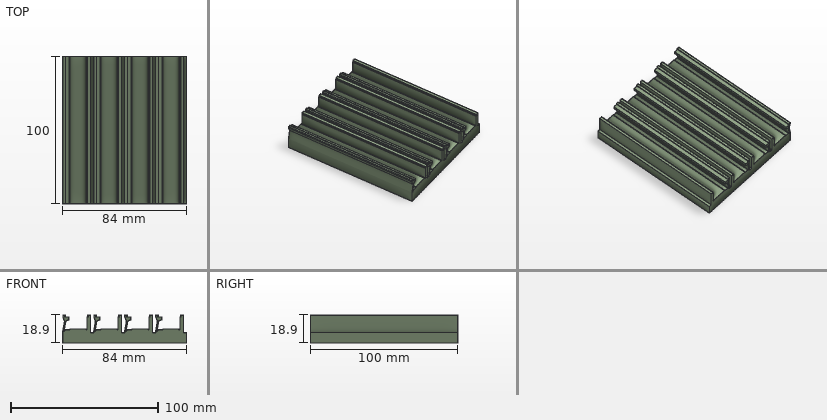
import cadquery as cq

channel_count = 4
channel_pitch = 21.0
length = 100.0
height = 18.9

gap_floor_z = 7.1
hook_root_z = 8.0
side_strip_z = 9.1
channel_floor_z = 9.7
waist_z = 14.75
head_underside_z = 14.9
head_corner_z = 15.8
ledge_z = 17.7
rim_bottom_z = 18.45

root_width = 1.05
waist_outer_x = 1.2
waist_inner_x = 2.2
head_outer_x = 0.1
head_inner_x = 4.3
hook_rim_x = 1.85
undercut_depth = 0.45

notch_end_x = 2.0
step_x = 4.9
groove_width = 0.6
wall_inner_x = 16.5
wall_outer_x = 19.0
wall_rim_setback = 0.45


def hook_points():
    """Springy hook, from its outer root over the head to its inner root."""
    return [
        (0, hook_root_z),
        (waist_outer_x, waist_z),
        (head_outer_x, ledge_z),
        (head_outer_x, height),
        (hook_rim_x, height),
        (hook_rim_x, rim_bottom_z),
        (hook_rim_x - undercut_depth, ledge_z),
        (head_inner_x, ledge_z),
        (head_inner_x, head_corner_z),
        (waist_inner_x, head_underside_z),
        (root_width, hook_root_z),
    ]


def floor_points():
    """Channel floor, from the sloped notch at the hook to the groove at the wall."""
    groove_x = wall_inner_x - groove_width
    return [
        (notch_end_x, side_strip_z),
        (step_x, side_strip_z),
        (step_x, channel_floor_z),
        (groove_x, channel_floor_z),
        (groove_x, side_strip_z),
        (wall_inner_x, side_strip_z),
    ]


def wall_points():
    """Rigid wall with an undercut rim, followed by the gap behind it."""
    wall_rim_x = wall_inner_x + wall_rim_setback
    return [
        (wall_inner_x, ledge_z),
        (wall_rim_x + undercut_depth, ledge_z),
        (wall_rim_x, rim_bottom_z),
        (wall_rim_x, height),
        (wall_outer_x, height),
        (wall_outer_x, gap_floor_z),
        (channel_pitch, gap_floor_z),
    ]


def profile_points():
    """Closed cross-section: a flat base carrying equal channels side by side."""
    width = channel_count * channel_pitch
    left = -width / 2
    points = [(left, 0)]
    for index in range(channel_count):
        channel_left = left + index * channel_pitch
        for x, z in hook_points() + floor_points() + wall_points():
            points.append((channel_left + x, z))
    points.append((left + width, 0))
    return points


result = cq.Workplane("XZ").polyline(profile_points()).close().extrude(length / 2, both=True)